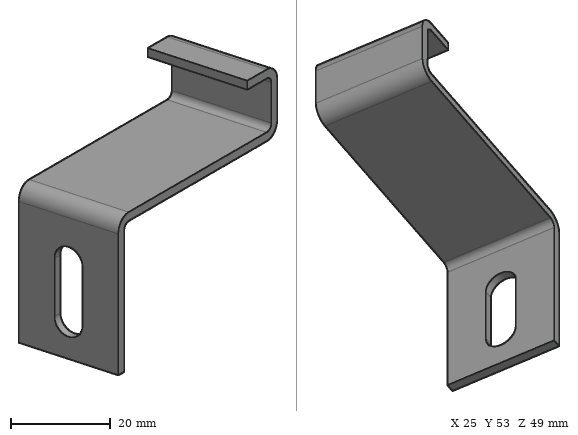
import cadquery as cq

width = 25.0
depth = 53.0
height = 49.0
thickness = 2.0
inner_radius = 1.5
hook_height = 16.0
lip_length = 10.0

slot_width = 7.0
slot_length = 20.0
slot_margin = 5.0

outer_radius = inner_radius + thickness
shelf_bottom = height - hook_height
shelf_top = shelf_bottom + thickness
hook_inside = depth - thickness
lip_bottom = height - thickness
lip_end = depth - lip_length


def make_strip():
    """Extrude the sharp-cornered side profile, then round its three bends."""
    profile = [
        (0, 0),
        (thickness, 0),
        (thickness, shelf_bottom),
        (depth, shelf_bottom),
        (depth, height),
        (lip_end, height),
        (lip_end, lip_bottom),
        (hook_inside, lip_bottom),
        (hook_inside, shelf_top),
        (0, shelf_top),
    ]
    strip = cq.Workplane("YZ").polyline(profile).close().extrude(width / 2, both=True)

    outer_corners = [(0, shelf_top), (depth, shelf_bottom), (depth, height)]
    inner_corners = [
        (thickness, shelf_bottom),
        (hook_inside, shelf_top),
        (hook_inside, lip_bottom),
    ]
    for corners, radius in ((outer_corners, outer_radius), (inner_corners, inner_radius)):
        for y, z in corners:
            strip = strip.edges(cq.NearestToPointSelector((0, y, z))).fillet(radius)
    return strip


def make_slot():
    """Upright round-ended cutter through the front plate."""
    slot_center = slot_margin + slot_length / 2
    return (
        cq.Workplane("XZ")
        .center(0, slot_center)
        .slot2D(slot_length, slot_width, 90)
        .extrude(thickness, both=True)
    )


result = make_strip().cut(make_slot())